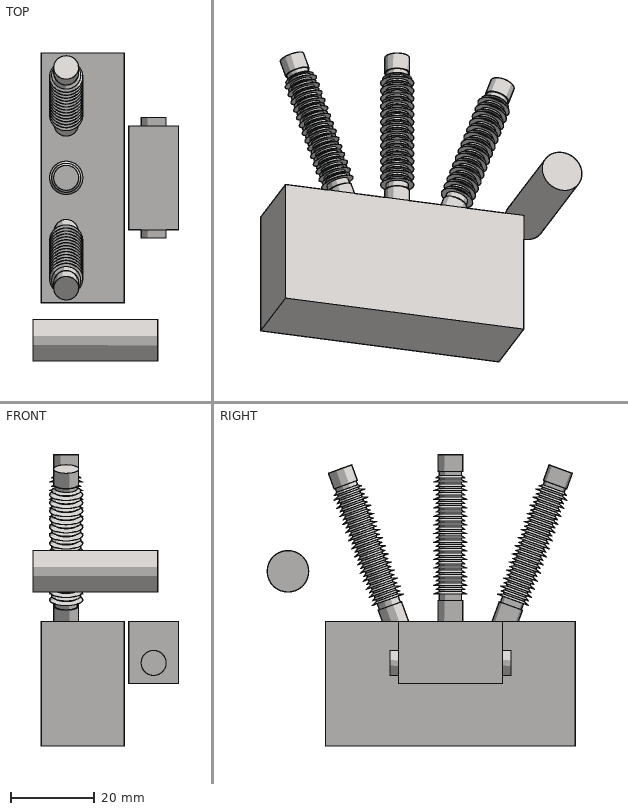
import cadquery as cq
import math

BASE_WIDTH = 20.0
BASE_LENGTH = 60.0
BASE_HEIGHT = 30.0

BOX_WIDTH = 12.0
BOX_LENGTH = 25.0
BOX_HEIGHT = 15.0
BOX_GAP = 1.0
STUB_DIAMETER = 6.0
STUB_LENGTH = 2.0
STUB_AXIS_Z = 20.0

CYLINDER_DIAMETER = 10.0
CYLINDER_LENGTH = 30.0
CYLINDER_GAP = 4.0
CYLINDER_AXIS_Z = 42.0
CYLINDER_OVERHANG = 2.0

BUSHING_X = 6.0
BUSHING_LENGTH = 40.0
END_DIAMETER = 6.0
LOWER_END_LENGTH = 5.0
UPPER_END_LENGTH = 4.0
CORE_DIAMETER = 5.4
BUSHING_TILT = 20.0
TILTED_FOOT_EDGE_Y = 10.0

LARGE_SHED_DIAMETER = 8.0
SMALL_SHED_DIAMETER = 7.0
SHED_HEIGHT = 0.55
SHED_COUNT = 28
CORE_LENGTH = BUSHING_LENGTH - LOWER_END_LENGTH - UPPER_END_LENGTH
SHED_PITCH = CORE_LENGTH / (SHED_COUNT + 2)
FIRST_SHED_Z = LOWER_END_LENGTH + 1.5 * SHED_PITCH


def make_base():
    return cq.Workplane("XY").box(
        BASE_WIDTH, BASE_LENGTH, BASE_HEIGHT, centered=(False, True, False)
    )


def make_side_box():
    left = BASE_WIDTH + BOX_GAP
    box = (
        cq.Workplane("XY")
        .box(BOX_WIDTH, BOX_LENGTH, BOX_HEIGHT, centered=(False, True, False))
        .translate((left, 0, BASE_HEIGHT - BOX_HEIGHT))
    )
    stubs = (
        cq.Workplane("XZ")
        .center(left + BOX_WIDTH / 2, STUB_AXIS_Z)
        .circle(STUB_DIAMETER / 2)
        .extrude(BOX_LENGTH / 2 + STUB_LENGTH, both=True)
    )
    return box.union(stubs)


def make_cylinder():
    axis_y = -(BASE_LENGTH / 2 + CYLINDER_GAP + CYLINDER_DIAMETER / 2)
    return (
        cq.Workplane("YZ", origin=(-CYLINDER_OVERHANG, axis_y, CYLINDER_AXIS_Z))
        .circle(CYLINDER_DIAMETER / 2)
        .extrude(CYLINDER_LENGTH)
    )


def make_upright_bushing():
    """Bushing along +Z with its foot at the origin, turned from a half profile."""
    end_radius = END_DIAMETER / 2
    core_radius = CORE_DIAMETER / 2
    core_top = LOWER_END_LENGTH + CORE_LENGTH
    profile = [
        (0, 0),
        (end_radius, 0),
        (end_radius, LOWER_END_LENGTH),
        (core_radius, LOWER_END_LENGTH),
    ]
    for shed in range(SHED_COUNT):
        shed_diameter = LARGE_SHED_DIAMETER if shed % 2 == 0 else SMALL_SHED_DIAMETER
        underside_z = FIRST_SHED_Z + shed * SHED_PITCH
        profile += [
            (core_radius, underside_z),
            (shed_diameter / 2, underside_z),
            (core_radius, underside_z + SHED_HEIGHT),
        ]
    profile += [
        (core_radius, core_top),
        (end_radius, core_top),
        (end_radius, BUSHING_LENGTH),
        (0, BUSHING_LENGTH),
    ]
    return cq.Workplane("XZ").polyline(profile).close().revolve(360, (0, 0), (0, 1))


def make_bushings(base):
    """Three bushings fanned out along Y; the foot of a tilted one is trimmed flush with the base."""
    upright = make_upright_bushing()
    tilt = math.radians(BUSHING_TILT)
    end_radius = END_DIAMETER / 2
    foot_y = TILTED_FOOT_EDGE_Y + end_radius * math.cos(tilt)
    foot_drop = end_radius * math.sin(tilt)
    bushings = []
    for side in (-1, 0, 1):
        foot = (BUSHING_X, side * foot_y, BASE_HEIGHT - abs(side) * foot_drop)
        bushing = upright.rotate((0, 0, 0), (1, 0, 0), -side * BUSHING_TILT).translate(foot)
        if side != 0:
            bushing = bushing.cut(base)
        bushings.append(bushing)
    return bushings


base = make_base()
side_box = make_side_box()
cylinder = make_cylinder()
bushings = make_bushings(base)

result = cq.Compound.makeCompound(
    [base.val(), side_box.val(), cylinder.val()]
    + [solid for bushing in bushings for solid in bushing.vals()]
)